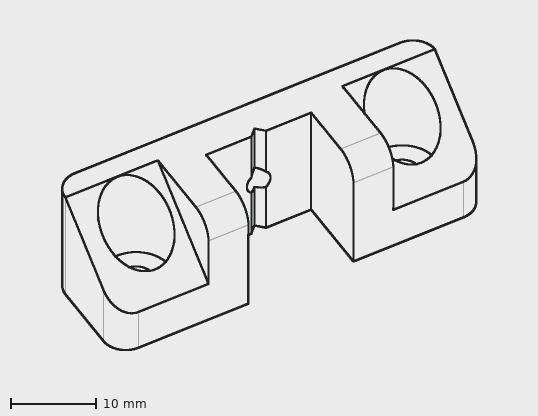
import cadquery as cq
import math

depth = 15.0
length = 50.0
height = 16.0
corner_radius = 3.0

slot_width = 14.2
back_wall = 5.0
notch_depth = 1.0
notch_width = 2.0

rib_outer_span = 25.0
slope_start_x = 2.975
slope_angle = 40.0
slope_drop = (depth - slope_start_x) * math.tan(math.radians(slope_angle))

screw_spacing = 36.0
screw_diameter = 4.2
counterbore_diameter = 9.0
counterbore_floor = 3.0

cross_hole_diameter = 3.2


def make_block():
    """Block with rounded upright corners and a rounded upper front edge."""
    block = cq.Workplane("XY").box(depth, length, height, centered=(False, True, False))
    block = block.edges("|Z").fillet(corner_radius)
    profile = (
        cq.Workplane("XZ", origin=(0, length / 2, 0))
        .rect(depth, height, centered=False)
        .extrude(length)
        .edges("|Y and >X and >Z")
        .fillet(corner_radius)
    )
    return block.intersect(profile)


def make_slot():
    """Cutter for the slot and the V notch, over the full height."""
    half_slot = slot_width / 2
    half_notch = notch_width / 2
    return (
        cq.Workplane("XY")
        .moveTo(depth, -half_slot)
        .lineTo(back_wall, -half_slot)
        .lineTo(back_wall, -half_notch)
        .lineTo(back_wall - notch_depth, 0)
        .lineTo(back_wall, half_notch)
        .lineTo(back_wall, half_slot)
        .lineTo(depth, half_slot)
        .close()
        .extrude(height)
    )


def make_end_slope(side):
    """Wedge cutter above the sloped seat at one end; side is +1 or -1 along Y."""
    end_length = (length - rib_outer_span) / 2
    start_y = length / 2 if side > 0 else -rib_outer_span / 2
    return (
        cq.Workplane("XZ", origin=(0, start_y, 0))
        .moveTo(slope_start_x, height)
        .lineTo(depth, height)
        .lineTo(depth, height - slope_drop)
        .close()
        .extrude(end_length)
    )


def make_screw_hole(side):
    """Cutter for one counterbored screw hole; side is +1 or -1 along Y."""
    centre = (depth / 2, side * screw_spacing / 2)
    shank = cq.Workplane("XY").center(*centre).circle(screw_diameter / 2).extrude(height)
    counterbore = (
        cq.Workplane("XY", origin=(0, 0, counterbore_floor))
        .center(*centre)
        .circle(counterbore_diameter / 2)
        .extrude(height - counterbore_floor)
    )
    return shank.union(counterbore)


def make_cross_hole():
    """Cutter for the hole along X at the middle of the back wall."""
    return (
        cq.Workplane("YZ", origin=(0, 0, height / 2))
        .circle(cross_hole_diameter / 2)
        .extrude(depth)
    )


result = make_block().cut(make_slot()).cut(make_cross_hole())
for end in (-1, 1):
    result = result.cut(make_end_slope(end)).cut(make_screw_hole(end))